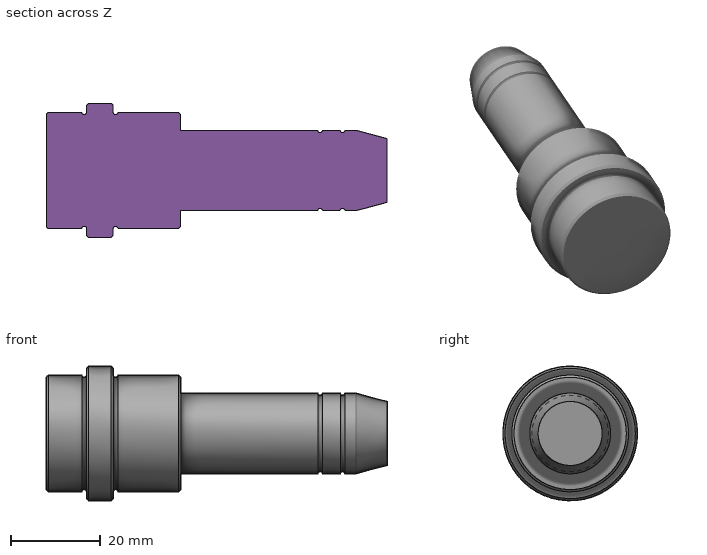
import cadquery as cq
import math

head_diameter = 26.0
collar_diameter = 30.0
shaft_diameter = 18.0

collar_start = 9.0
collar_width = 6.0
body_end = 30.0
total_length = 76.0

taper_length = 7.0
taper_angle = 15.0

edge_chamfer = 0.5

relief_width = 1.0
relief_depth = 0.5

shaft_groove_width = 1.0
shaft_groove_depth = 0.5
shaft_groove_centers = (61.0, 66.0)

tip_diameter = shaft_diameter - 2 * taper_length * math.tan(math.radians(taper_angle))
collar_end = collar_start + collar_width
relief_centers = (collar_start - relief_width / 2, collar_end + relief_width / 2)


def cylinder(diameter, start, end):
    """Cylinder on the X axis between two axial stations."""
    return cq.Workplane("YZ").workplane(offset=start).circle(diameter / 2).extrude(end - start)


def round_groove(diameter, center, width, depth):
    """Ring with an arc-shaped floor, for cutting a groove into a cylinder of the given diameter."""
    radius = diameter / 2
    left = center - width / 2
    right = center + width / 2
    return (
        cq.Workplane("XY")
        .moveTo(left, radius)
        .threePointArc((center, radius - depth), (right, radius))
        .close()
        .revolve(360, (0, 0, 0), (1, 0, 0))
    )


def make_body():
    """Head and body as one chamfered cylinder, relieved on both sides of the collar."""
    body = cylinder(head_diameter, 0, body_end).faces("<X or >X").chamfer(edge_chamfer)
    for center in relief_centers:
        body = body.cut(round_groove(head_diameter, center, relief_width, relief_depth))
    return body


def make_collar():
    """Collar with both outer edges chamfered."""
    return cylinder(collar_diameter, collar_start, collar_end).faces("<X or >X").chamfer(edge_chamfer)


def make_shaft():
    """Shaft with a conical tip and two round grooves."""
    taper_start = total_length - taper_length
    shaft = (
        cq.Workplane("XY")
        .moveTo(body_end, 0)
        .lineTo(body_end, shaft_diameter / 2)
        .lineTo(taper_start, shaft_diameter / 2)
        .lineTo(total_length, tip_diameter / 2)
        .lineTo(total_length, 0)
        .close()
        .revolve(360, (0, 0, 0), (1, 0, 0))
    )
    for center in shaft_groove_centers:
        shaft = shaft.cut(round_groove(shaft_diameter, center, shaft_groove_width, shaft_groove_depth))
    return shaft


result = make_body().union(make_collar()).union(make_shaft())